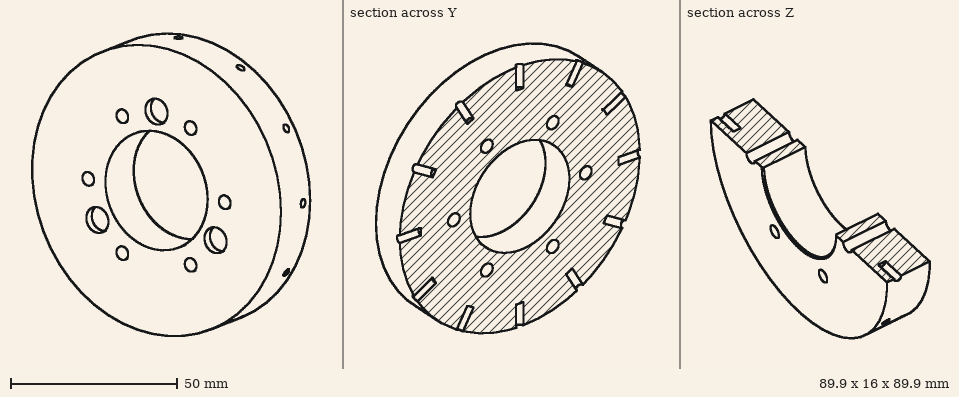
import cadquery as cq

outer_diameter = 89.9
thickness = 16.0
bore_diameter = 36.9
bore_chamfer = 0.5

pitch_radius = 24.6
through_hole_count = 6
through_hole_diameter = 4.2
pocket_count = 3
pocket_diameter = 8.0
pocket_depth = 3.0

rim_hole_count = 12
rim_hole_diameter = 2.5
rim_hole_depth = 8.0
rim_hole_from_back = 4.0

front_y = -thickness / 2
back_y = thickness / 2


def make_ring():
    """Plain ring centred on the origin."""
    return (
        cq.Workplane("XZ", origin=(0, back_y, 0))
        .circle(outer_diameter / 2)
        .circle(bore_diameter / 2)
        .extrude(thickness)
    )


def bore_chamfer_cutter():
    """Cone that breaks the back edge of the bore at 45 degrees."""
    bore_radius = bore_diameter / 2
    return cq.Workplane(
        cq.Solid.makeCone(
            bore_radius,
            bore_radius + bore_chamfer,
            bore_chamfer,
            pnt=cq.Vector(0, back_y - bore_chamfer, 0),
            dir=cq.Vector(0, 1, 0),
        )
    )


def front_holes(count, start_angle, diameter, depth):
    """Cylinders on the pitch circle, running from the front face into the ring."""
    return (
        cq.Workplane("XZ", origin=(0, front_y, 0))
        .polarArray(pitch_radius, start_angle, 360, count)
        .circle(diameter / 2)
        .extrude(-depth)
    )


def rim_hole(angle):
    """Radial cylinder running inward from the rim at the given angle about Y."""
    hole = (
        cq.Workplane("XY", origin=(0, back_y - rim_hole_from_back, outer_diameter / 2 - rim_hole_depth))
        .circle(rim_hole_diameter / 2)
        .extrude(rim_hole_depth)
    )
    return hole.rotate((0, 0, 0), (0, 1, 0), angle)


result = make_ring()
result = result.cut(bore_chamfer_cutter())
result = result.cut(front_holes(through_hole_count, 0, through_hole_diameter, thickness))
result = result.cut(front_holes(pocket_count, 90, pocket_diameter, pocket_depth))
for index in range(rim_hole_count):
    result = result.cut(rim_hole(index * 360 / rim_hole_count))